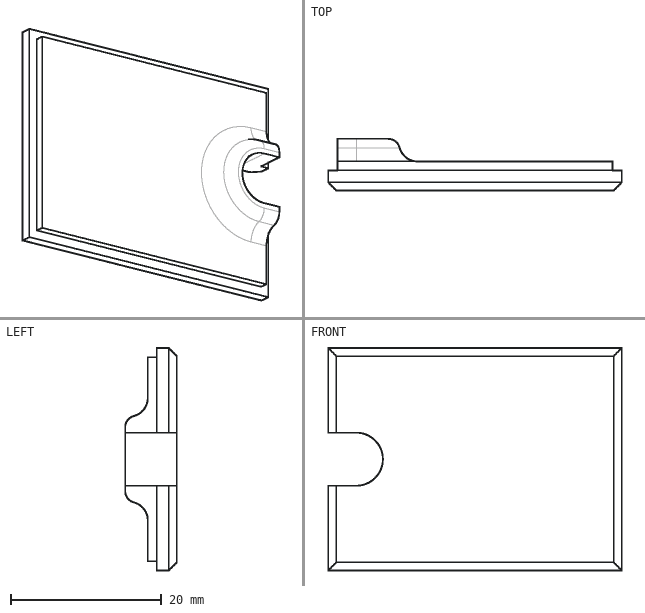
import cadquery as cq
import math

length = 38.9
height = 29.5
plate_thickness = 2.7
chamfer = 1.1

step_inset = 1.2
step_thickness = 1.2

notch_radius = 3.5
notch_center_x = 3.75

total_depth = 6.9
collar_flat_radius = 4.2
crest_radius = 1.6
root_radius = 2.4

mid_z = height / 2
step_y = plate_thickness + step_thickness
collar_height = total_depth - step_y

flank_angle = math.acos(1 - collar_height / (crest_radius + root_radius))


def crest_point(angle):
    """Radius from the notch axis and y of a point on the convex arc."""
    return (
        collar_flat_radius + crest_radius * math.sin(angle),
        total_depth - crest_radius * (1 - math.cos(angle)),
    )


def root_point(angle):
    """Radius from the notch axis and y of a point on the concave arc."""
    root_end = collar_flat_radius + (crest_radius + root_radius) * math.sin(flank_angle)
    return (
        root_end - root_radius * math.sin(angle),
        step_y + root_radius * (1 - math.cos(angle)),
    )


def collar_profile(workplane, to_local):
    """Closed half section of the collar, reaching through the step to the plate."""
    base_y = plate_thickness
    root_end = root_point(0)
    return (
        workplane.moveTo(*to_local(0, base_y))
        .lineTo(*to_local(0, total_depth))
        .lineTo(*to_local(*crest_point(0)))
        .threePointArc(to_local(*crest_point(flank_angle / 2)), to_local(*crest_point(flank_angle)))
        .threePointArc(to_local(*root_point(flank_angle / 2)), to_local(*root_end))
        .lineTo(*to_local(root_end[0], base_y))
        .close()
    )


def make_plate():
    plate = cq.Workplane("XY").box(length, plate_thickness, height, centered=False)
    return plate.faces("<Y").edges().chamfer(chamfer)


def make_step():
    step = cq.Workplane("XY").box(
        length - 2 * step_inset, step_thickness, height - 2 * step_inset, centered=False
    )
    return step.translate((step_inset, plate_thickness, step_inset))


def make_collar():
    section = collar_profile(
        cq.Workplane("XY", origin=(notch_center_x, 0, mid_z)), lambda radius, y: (radius, y)
    )
    collar = section.revolve(360, (0, 0, 0), (0, 1, 0))
    behind_center = (
        cq.Workplane("XY")
        .box(length, total_depth, height, centered=False)
        .translate((notch_center_x, 0, 0))
    )
    collar = collar.intersect(behind_center)

    arm = collar_profile(
        cq.Workplane("YZ", origin=(step_inset, 0, mid_z)), lambda radius, y: (y, radius)
    ).extrude(notch_center_x - step_inset)
    return collar.union(arm).union(arm.mirror("XY", (0, 0, mid_z)))


def make_notch():
    slot = cq.Workplane("XY").box(notch_center_x, total_depth, 2 * notch_radius, centered=False)
    slot = slot.translate((0, 0, mid_z - notch_radius))
    round_end = (
        cq.Workplane("XZ", origin=(notch_center_x, 0, mid_z)).circle(notch_radius).extrude(-total_depth)
    )
    return slot.union(round_end)


result = make_plate().union(make_step()).union(make_collar()).cut(make_notch())